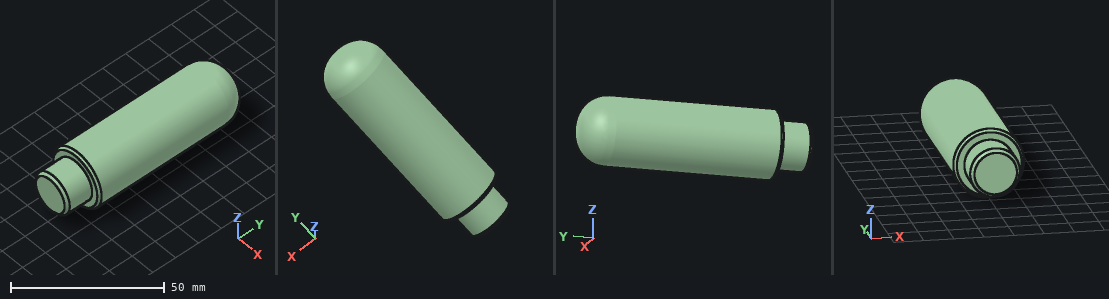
import cadquery as cq

body_diameter = 23.5
body_length = 67.0
nose_radius = 10.0
body_chamfer = 1.0
shank_diameter = 16.5
shank_length = 11.0
shank_chamfer = 1.2


def cylinder_along_y(diameter, start_y, length):
    """Solid cylinder on the Y axis, running from start_y toward +Y."""
    return cq.Workplane("XZ", origin=(0, start_y, 0)).circle(diameter / 2).extrude(-length)


def make_body():
    """Main cylinder with a rounded nose at +Y and a chamfered shoulder at Y = 0."""
    body = cylinder_along_y(body_diameter, 0, body_length)
    body = body.faces(">Y").edges().fillet(nose_radius)
    return body.faces("<Y").edges().chamfer(body_chamfer)


def make_shank():
    """Reduced shank projecting to -Y from the shoulder, chamfered at its free end."""
    shank = cylinder_along_y(shank_diameter, -shank_length, shank_length)
    return shank.faces("<Y").edges().chamfer(shank_chamfer)


result = make_body().union(make_shank())